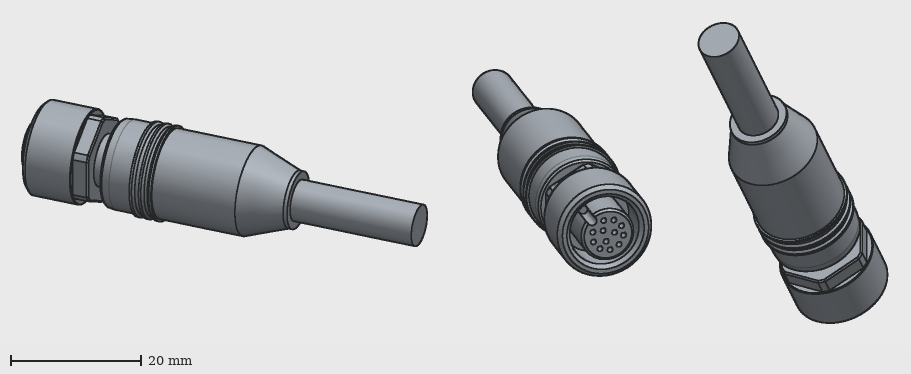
import cadquery as cq
import math


insert_radius = 4.2
insert_chamfer = 0.4

nut_start = 1.4
nut_end = 9.55
nut_radius = 7.5
nut_front_chamfer = 0.65
nut_back_chamfer = 0.1
bore_radius = 5.5
bore_mouth_chamfer = 0.65
bore_floor = 7.7

hex_sides = 6
hex_end = 12.1
hex_across_flats = 13.1
hex_corner_radius = 7.25
hex_chamfer = 0.25

grip_start = 14.1
grip_radius = 7.1
nose_radius = 6.7
shoulder_radius = 7.0
nose_length = 0.4
barrel_start = 15.7
cone_start = 36.6
collar_start = 43.5
grip_end = 44.2
collar_radius = 4.55

total_length = 64.2
cable_radius = 3.3

ring_length = 0.8
ring_crest = 0.4
ring_radius = nut_radius
first_ring = 19.25
second_ring = 20.8
third_ring = 22.1

contact_radius = 0.42
contact_depth = 3.85
outer_contact_count = 9
outer_circle_radius = 2.5
outer_contact_pitch = 37.7
inner_contact_count = 3
inner_circle_radius = 1.1
slot_angle = 135.0
slot_radius = 0.7
slot_centre_radius = 3.5
slot_depth = 5.15


def revolve_profile(points):
    """Turn a closed outline of (x, radius) points about the X axis."""
    return cq.Workplane("XY").polyline(points).close().revolve(360, (0, 0, 0), (1, 0, 0))


def rod(radius, start, end):
    """Cylinder along X."""
    return cq.Workplane("YZ").workplane(offset=start).circle(radius).extrude(end - start)


def around_axis(radius, angle):
    """Point at an angle measured from -Y towards +Z, as (y, z)."""
    turn = math.radians(angle)
    return (-radius * math.cos(turn), radius * math.sin(turn))


def make_nut():
    nut = rod(nut_radius, nut_start, nut_end)
    nut = nut.faces("<X").chamfer(nut_front_chamfer)
    nut = nut.faces(">X").chamfer(nut_back_chamfer)
    mouth_radius = bore_radius + bore_mouth_chamfer
    bore = revolve_profile([
        (nut_start, 0),
        (nut_start, mouth_radius),
        (nut_start + bore_mouth_chamfer, bore_radius),
        (bore_floor, bore_radius),
        (bore_floor, 0),
    ])
    return nut.cut(bore)


def make_hexagon():
    half_side_angle = 180 / hex_sides
    across_corners = hex_across_flats / math.cos(math.radians(half_side_angle))
    prism = (
        cq.Workplane("YZ")
        .workplane(offset=nut_end)
        .transformed(rotate=(0, 0, half_side_angle))
        .polygon(hex_sides, across_corners)
        .extrude(hex_end - nut_end)
    )
    hexagon = prism.intersect(rod(hex_corner_radius, nut_end, hex_end))
    return hexagon.faces(">X").chamfer(hex_chamfer)


def make_grip():
    return revolve_profile([
        (grip_start, 0),
        (grip_start, nose_radius),
        (grip_start + nose_length, shoulder_radius),
        (barrel_start, grip_radius),
        (cone_start, grip_radius),
        (collar_start, collar_radius),
        (grip_end, collar_radius),
        (grip_end, 0),
    ])


def make_ring(steep_side, direction):
    """Ring whose slope runs down from the crest towards +X (direction 1) or -X (direction -1)."""
    return revolve_profile([
        (steep_side, 0),
        (steep_side, ring_radius),
        (steep_side + direction * ring_crest, ring_radius),
        (steep_side + direction * ring_length, grip_radius),
        (steep_side + direction * ring_length, 0),
    ])


def make_contact_holes():
    points = []
    first_angle = slot_angle + 180 - outer_contact_pitch * (outer_contact_count - 1) / 2
    for i in range(outer_contact_count):
        points.append(around_axis(outer_circle_radius, first_angle + i * outer_contact_pitch))
    for i in range(inner_contact_count):
        points.append(around_axis(inner_circle_radius, slot_angle + i * 360 / inner_contact_count))
    return cq.Workplane("YZ").pushPoints(points).circle(contact_radius).extrude(contact_depth)


def make_coding_slot():
    """Round-bottomed groove along the insert, open at its outer surface."""
    slot_length = 2 * (insert_radius - slot_centre_radius + slot_radius)
    groove = cq.Workplane("YZ").center(slot_centre_radius, 0).circle(slot_radius).extrude(slot_depth)
    opening = (
        cq.Workplane("YZ")
        .center(slot_centre_radius + slot_length / 2, 0)
        .rect(slot_length, 2 * slot_radius)
        .extrude(slot_depth)
    )
    return groove.union(opening).rotate((0, 0, 0), (1, 0, 0), 180 - slot_angle)


insert = rod(insert_radius, 0, grip_start).faces("<X").chamfer(insert_chamfer)
insert = insert.cut(make_coding_slot()).cut(make_contact_holes())

result = make_nut().union(insert).union(make_hexagon()).union(make_grip())
result = result.union(make_ring(first_ring, 1)).union(make_ring(second_ring, 1))
result = result.union(make_ring(third_ring + ring_length, -1))
result = result.union(rod(cable_radius, grip_end, total_length))